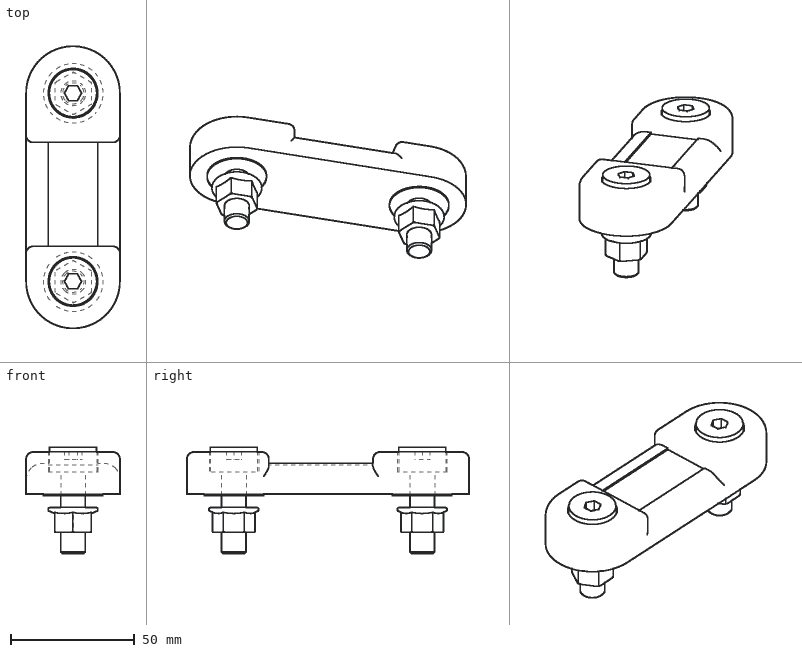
import cadquery as cq
import math

LENGTH = 114.0
WIDTH = 38.0
END_RADIUS = WIDTH / 2
BOLT_OFFSET = LENGTH / 2 - END_RADIUS
STRAP_HEIGHT = 17.1
BASE_HEIGHT = 5.9
BRIDGE_HEIGHT = 12.5
BRIDGE_ROUND = BRIDGE_HEIGHT - BASE_HEIGHT
FRONT_BLOCK_FACE = 23.8
REAR_BLOCK_FACE = 18.1
BLOCK_FILLET = 3.0
PANEL_WIDTH = 20.1
PANEL_DEPTH = 0.7
PAD_DIAMETER = 24.0
PAD_HEIGHT = 0.6

HEAD_DIAMETER = 19.0
HEAD_HEIGHT = 10.0
HEAD_PROTRUSION = 1.9
HEAD_TOP = STRAP_HEIGHT + HEAD_PROTRUSION
HEAD_SEAT = HEAD_TOP - HEAD_HEIGHT
POCKET_DIAMETER = 20.0
SOCKET_FLATS = 6.0
SOCKET_DEPTH = 5.0
SHANK_DIAMETER = 10.0
SHANK_TIP_DIAMETER = 8.5
FASTENER_LENGTH = 43.0
SHANK_BOTTOM = HEAD_TOP - FASTENER_LENGTH
TIP_CHAMFER = (SHANK_DIAMETER - SHANK_TIP_DIAMETER) / 2
NUT_FLATS = 14.9
NUT_TOP = -5.4
NUT_HEIGHT = 10.0
NUT_CORNER_CHAMFER = 0.3
FLANGE_DIAMETER = 20.2
FLANGE_THICKNESS = 2.5
FLANGE_TAPER_ANGLE = math.radians(23)
FLANGE_LIP_RADIUS = 0.8

HEX_CORNERS_PER_FLATS = 2 / math.sqrt(3)


def cylinder(diameter, bottom, top, y=0):
    """Vertical cylinder between two heights."""
    return cq.Workplane("XY", origin=(0, y, bottom)).circle(diameter / 2).extrude(top - bottom)


def hexagon(flats, bottom, top):
    """Vertical hexagonal prism with corners on the X axis."""
    corners = flats * HEX_CORNERS_PER_FLATS
    return cq.Workplane("XY", origin=(0, 0, bottom)).polygon(6, corners).extrude(top - bottom)


def make_bridge():
    """Middle section with rounded upper edges and a shallow sunken panel."""
    span = 2 * BOLT_OFFSET
    bridge = (
        cq.Workplane("XY")
        .box(WIDTH, span, BRIDGE_HEIGHT, centered=(True, True, False))
        .edges("|Y and >Z")
        .fillet(BRIDGE_ROUND)
    )
    panel = (
        cq.Workplane("XY", origin=(0, 0, BRIDGE_HEIGHT - PANEL_DEPTH))
        .box(PANEL_WIDTH, span, PANEL_DEPTH, centered=(True, True, False))
    )
    return bridge.cut(panel)


def make_end_block(inner_face):
    """Full-height block at the +Y end, with rounded top and inner corners."""
    return (
        cq.Workplane("XY")
        .moveTo(-END_RADIUS, inner_face)
        .lineTo(END_RADIUS, inner_face)
        .lineTo(END_RADIUS, BOLT_OFFSET)
        .threePointArc((0, LENGTH / 2), (-END_RADIUS, BOLT_OFFSET))
        .close()
        .extrude(STRAP_HEIGHT)
        .edges("|Z and <Y")
        .fillet(BLOCK_FILLET)
        .faces(">Z")
        .edges()
        .fillet(BLOCK_FILLET)
    )


def make_strap():
    """Base, bridge and two end blocks, with pads and stepped bolt holes."""
    rear_block = make_end_block(REAR_BLOCK_FACE)
    front_block = make_end_block(FRONT_BLOCK_FACE).mirror("XZ")
    base = cq.Workplane("XY").slot2D(LENGTH, WIDTH, 90).extrude(BASE_HEIGHT)
    strap = base.union(make_bridge()).union(rear_block).union(front_block)
    for y in (-BOLT_OFFSET, BOLT_OFFSET):
        strap = strap.union(cylinder(PAD_DIAMETER, -PAD_HEIGHT, 0, y))
        strap = strap.cut(cylinder(SHANK_DIAMETER, -PAD_HEIGHT, HEAD_SEAT, y))
        strap = strap.cut(cylinder(POCKET_DIAMETER, HEAD_SEAT, STRAP_HEIGHT, y))
    return strap


def make_flange():
    """Disc with a rounded lip and an underside tapering down towards the hexagon."""
    lip_x = FLANGE_DIAMETER / 2 - FLANGE_LIP_RADIUS
    lip_z = NUT_TOP - FLANGE_LIP_RADIUS
    bottom = NUT_TOP - FLANGE_THICKNESS
    taper_x = lip_x + FLANGE_LIP_RADIUS * math.sin(FLANGE_TAPER_ANGLE)
    taper_z = lip_z - FLANGE_LIP_RADIUS * math.cos(FLANGE_TAPER_ANGLE)
    taper_end_x = taper_x - (taper_z - bottom) / math.tan(FLANGE_TAPER_ANGLE)
    return (
        cq.Workplane("XZ")
        .moveTo(0, NUT_TOP)
        .lineTo(lip_x, NUT_TOP)
        .threePointArc((FLANGE_DIAMETER / 2, lip_z), (taper_x, taper_z))
        .lineTo(taper_end_x, bottom)
        .lineTo(0, bottom)
        .close()
        .revolve(360, (0, 0, 0), (0, 1, 0))
    )


def make_nut():
    """Hexagon, corners along Y, topped by its flange."""
    bottom = NUT_TOP - NUT_HEIGHT
    top = NUT_TOP - FLANGE_LIP_RADIUS
    bevel = (
        cylinder(NUT_FLATS * HEX_CORNERS_PER_FLATS, bottom, top)
        .faces("<Z")
        .chamfer(NUT_CORNER_CHAMFER)
    )
    body = hexagon(NUT_FLATS, bottom, top).intersect(bevel)
    return make_flange().union(body.rotate((0, 0, 0), (0, 0, 1), 90))


def make_fastener():
    """Socket-head bolt with its flanged hexagon, on the Z axis."""
    shank = cylinder(SHANK_DIAMETER, SHANK_BOTTOM, HEAD_SEAT).faces("<Z").chamfer(TIP_CHAMFER)
    head = cylinder(HEAD_DIAMETER, HEAD_SEAT, HEAD_TOP)
    socket = hexagon(SOCKET_FLATS, HEAD_TOP - SOCKET_DEPTH, HEAD_TOP)
    return shank.union(head).union(make_nut()).cut(socket)


strap = make_strap()
fasteners = [make_fastener().translate((0, y, 0)) for y in (-BOLT_OFFSET, BOLT_OFFSET)]

result = cq.Compound.makeCompound([strap.val(), *(fastener.val() for fastener in fasteners)])